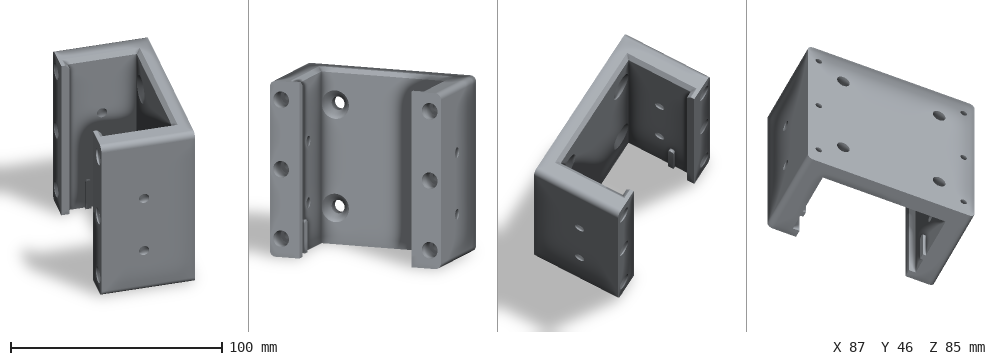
import cadquery as cq

width = 87.0
depth = 46.0
height = 85.0
edge_radius = 3.0

side_wall = 11.5
back_wall = 8.0
lip_thickness = 4.0
lip_reach = 3.5
mouth_bevel = 2.0
bevel_angle = 45.0

base_depth = 12.0

mount_pitch = 49.9
mount_bore = 6.5
mount_head = 13.75
countersink_angle = 90.0

screw_inset = 5.7
screw_pitch = 33.6
thread_bore = 3.3
clearance_bore = 4.5
head_bore = 8.0
head_depth = 10.0

cross_bore = 5.05
cross_inset = 21.0
cross_heights = (10.0, -19.75)

rib_width = 3.0
rib_reach = 1.6
rib_length = 16.1
rib_inset = 14.0

front = -depth / 2
back = depth / 2
top = height / 2
bottom = -height / 2
joint = back - base_depth
cavity_width = width - 2 * side_wall
cavity_depth = depth - back_wall - lip_thickness
cavity_center = front + lip_thickness + cavity_depth / 2
opening_width = cavity_width - 2 * lip_reach
screw_x = width / 2 - screw_inset
screw_heights = [row * screw_pitch for row in (-1, 0, 1)]


def cylinder_along_y(diameter, x, y_start, z, length):
    """Cylinder that runs from y_start toward +Y."""
    return cq.Workplane("XZ", origin=(x, y_start, z)).circle(diameter / 2).extrude(-length)


def channel():
    """Full C-shaped channel, rounded outside and bevelled around its upper mouth."""
    block = cq.Workplane("XY").box(width, depth, height).edges("|Y").fillet(edge_radius)
    cavity = cq.Workplane("XY").center(0, cavity_center).box(cavity_width, cavity_depth, height)
    opening_depth = lip_thickness + cavity_depth / 2
    opening = (
        cq.Workplane("XY")
        .center(0, front + opening_depth / 2)
        .box(opening_width, opening_depth, height)
    )
    bevel = (
        cq.Workplane("XY", origin=(0, cavity_center, top))
        .rect(cavity_width + 2 * mouth_bevel, cavity_depth + 2 * mouth_bevel)
        .extrude(-mouth_bevel, taper=bevel_angle)
    )
    return block.cut(cavity).cut(opening).cut(bevel)


def make_base():
    """Rear part of the channel, with mounting holes and tapped holes for the rails."""
    rear_zone = cq.Workplane("XY").center(0, joint + base_depth / 2).box(width, base_depth, height)
    base = channel().intersect(rear_zone)
    base = (
        base.copyWorkplane(cq.Workplane("XZ", origin=(0, back - back_wall, 0)))
        .rect(mount_pitch, mount_pitch, forConstruction=True)
        .vertices()
        .cskHole(mount_bore, mount_head, countersink_angle)
    )
    for x in (-screw_x, screw_x):
        for z in screw_heights:
            base = base.cut(cylinder_along_y(thread_bore, x, joint, z, base_depth))
    return base


def guide_rib(side):
    """Upright rib that starts at the bottom face and ends in a half round."""
    rib_y = front + rib_inset
    arc_base = bottom + rib_length - rib_width / 2
    inner_face = side * cavity_width / 2
    return (
        cq.Workplane("YZ", origin=(inner_face, 0, 0))
        .moveTo(rib_y - rib_width / 2, bottom)
        .lineTo(rib_y + rib_width / 2, bottom)
        .lineTo(rib_y + rib_width / 2, arc_base)
        .threePointArc((rib_y, bottom + rib_length), (rib_y - rib_width / 2, arc_base))
        .close()
        .extrude(-side * rib_reach)
    )


def make_rail(side):
    """Front part of one side wall with its lip; side is -1 for left, 1 for right."""
    rail_depth = depth - base_depth
    rail_zone = (
        cq.Workplane("XY")
        .center(side * width / 4, front + rail_depth / 2)
        .box(width / 2, rail_depth, height)
    )
    rail = channel().intersect(rail_zone).union(guide_rib(side))
    for z in screw_heights:
        rail = rail.cut(cylinder_along_y(clearance_bore, side * screw_x, front, z, rail_depth))
        rail = rail.cut(cylinder_along_y(head_bore, side * screw_x, front, z, head_depth))
    for z in cross_heights:
        cross_hole = (
            cq.Workplane("YZ", origin=(side * cavity_width / 2, front + cross_inset, z))
            .circle(cross_bore / 2)
            .extrude(side * side_wall)
        )
        rail = rail.cut(cross_hole)
    return rail


base = make_base()
rails = [make_rail(side) for side in (-1, 1)]

result = cq.Compound.makeCompound([base.solids().val(), *[rail.solids().val() for rail in rails]])